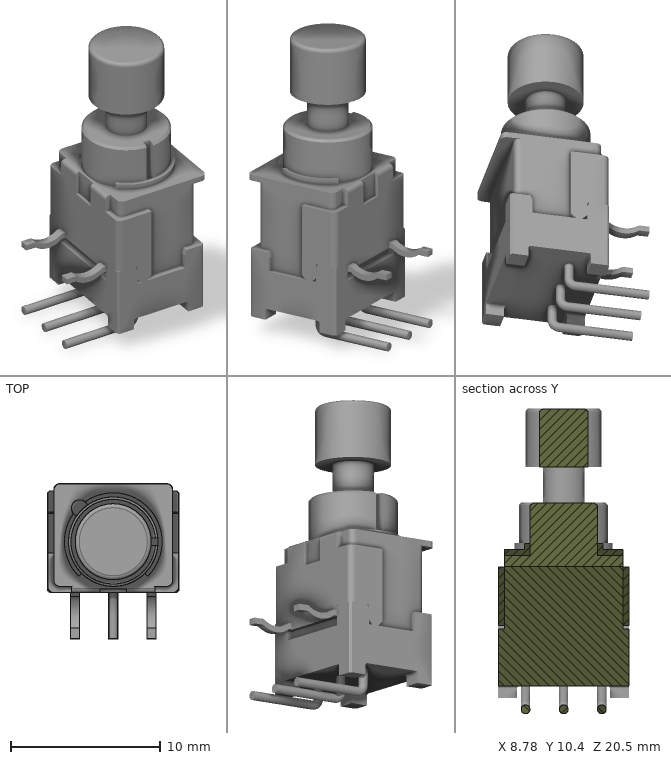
import cadquery as cq
import math

sheet = 0.4
overall_width = 8.78
block_width = overall_width - 2 * sheet
bushing_diameter = 6.0
block_depth = bushing_diameter
overall_depth = block_depth + 2 * sheet
front_y = -overall_depth / 2
block_front_y = -block_depth / 2
block_corner = 0.4

leg_bottom_z = 1.05
base_underside_z = 1.85
notch_floor_z = 4.55
shoulder_z = 5.92
block_top_z = 9.87
plate_top_z = 11.05
plate_bottom_z = plate_top_z - sheet
bushing_top_z = 14.15
cap_bottom_z = 16.52
cap_top_z = 20.47

stem_diameter = 2.78
cap_diameter = 5.1
cap_edge_radius = 0.27
bushing_chamfer = 0.16
keyway_width = 0.51
keyway_depth = 0.51

base_corner_chamfer = 0.15
side_notch_width = 3.77
bevel_width = 0.12
bevel_height = 0.37
side_slot_width = 4.3
front_slot_width = 6.22
slot_corner_radius = 0.15

plate_back_y = 3.89
neck_width = 5.57
bend_radius = 0.29
side_wall_back_y = -0.75
tip_chamfer = 0.35
recess_width = 1.8
recess_bottom_z = 9.35
recess_depth = 0.25
ring_diameter = 6.55
ring_top_z = 11.45
ring_end_angle = 45
peg_diameter = 1.1
peg_offset = 2.25

pin_diameter = 0.61
pin_pitch = 2.55
pin_y = -1.02
pin_bend_radius = 0.5
tip_y = -6.5
foot_width = 0.61
foot_bottom_z = 5.2
foot_sag = 0.37
foot_sag_start_y = -3.66
foot_sag_end_y = -5.77
tongue_width = 2 * pin_pitch + foot_width


def slab(width, y_min, y_max, z_min, z_max):
    """Box centred on X between the given Y and Z limits."""
    return cq.Workplane("XY").box(width, y_max - y_min, z_max - z_min, centered=False).translate(
        (-width / 2, y_min, z_min)
    )


def cylinder(diameter, z_min, z_max):
    return cq.Workplane("XY").workplane(offset=z_min).circle(diameter / 2).extrude(z_max - z_min)


def block(z_min, z_max):
    """Round-cornered block that the frame wraps around."""
    return slab(block_width, block_front_y, -block_front_y, z_min, z_max).edges("|Z").fillet(block_corner)


def peg(top_z):
    """Locating peg, or the room for it, through the frame plate."""
    return cylinder(peg_diameter, plate_bottom_z, top_z).translate((-peg_offset, peg_offset, 0))


def make_housing():
    """Flange block with the bushing, the stem and the button cap."""
    bushing = cylinder(bushing_diameter, plate_bottom_z, bushing_top_z)
    bushing = bushing.faces(">Z").edges().chamfer(bushing_chamfer)
    keyway = slab(keyway_depth, -keyway_width / 2, keyway_width / 2, plate_top_z, bushing_top_z)
    bushing = bushing.cut(keyway.translate((bushing_diameter / 2 - keyway_depth / 2, 0, 0)))
    stem = cylinder(stem_diameter, bushing_top_z, cap_bottom_z)
    cap = cylinder(cap_diameter, cap_bottom_z, cap_top_z).faces(">Z").edges().fillet(cap_edge_radius)
    return block(block_top_z, plate_bottom_z).union(bushing).union(peg(plate_top_z)).union(stem).union(cap)


def shoulder_notch(plane, width):
    """Cutter for a notch between two shoulders whose top inner edges are bevelled."""
    half = width / 2
    bevel_z = shoulder_z - bevel_height
    outline = [
        (-half, notch_floor_z),
        (half, notch_floor_z),
        (half, bevel_z),
        (half + bevel_width, shoulder_z),
        (-half - bevel_width, shoulder_z),
        (-half, bevel_z),
    ]
    return cq.Workplane(plane).polyline(outline).close().extrude(overall_width, both=True)


def foot_slot(plane, width):
    """Cutter for the gap between two legs, rounded along its upper corners."""
    height = base_underside_z - leg_bottom_z
    return (
        cq.Workplane(plane)
        .center(0, leg_bottom_z + height / 2)
        .rect(width, height)
        .extrude(overall_width, both=True)
        .faces(">Z")
        .edges("|X" if plane == "YZ" else "|Y")
        .fillet(slot_corner_radius)
    )


def make_base():
    """Four-legged base with the inner block standing out of it."""
    base = slab(overall_width, front_y, -front_y, leg_bottom_z, shoulder_z)
    base = base.edges("|Z").chamfer(base_corner_chamfer)
    base = base.cut(shoulder_notch("XZ", tongue_width)).cut(shoulder_notch("YZ", side_notch_width))
    base = base.cut(foot_slot("XZ", front_slot_width)).cut(foot_slot("YZ", side_slot_width))
    return base.union(block(base_underside_z, block_top_z))


def make_foot():
    """Solder foot with a dip, centred on X = 0."""
    top_z = foot_bottom_z + sheet
    sag_mid_y = (foot_sag_start_y + foot_sag_end_y) / 2
    return (
        cq.Workplane("YZ")
        .moveTo(block_front_y, foot_bottom_z)
        .lineTo(foot_sag_start_y, foot_bottom_z)
        .threePointArc((sag_mid_y, foot_bottom_z - foot_sag), (foot_sag_end_y, foot_bottom_z))
        .lineTo(tip_y, foot_bottom_z)
        .lineTo(tip_y, top_z)
        .lineTo(foot_sag_end_y, top_z)
        .threePointArc((sag_mid_y, top_z - foot_sag), (foot_sag_start_y, top_z))
        .lineTo(block_front_y, top_z)
        .close()
        .extrude(foot_width / 2, both=True)
    )


def make_ring():
    """Raised ring round the bushing, open towards -Y."""
    ring = cylinder(ring_diameter, plate_top_z, ring_top_z)
    reach = ring_diameter
    spread = reach * math.tan(math.radians(ring_end_angle))
    opening = (
        cq.Workplane("XY")
        .workplane(offset=plate_top_z)
        .polyline([(0, 0), (-spread, -reach), (spread, -reach)])
        .close()
        .extrude(ring_top_z - plate_top_z)
    )
    return ring.cut(opening)


def make_frame():
    """Sheet-metal frame: top plate, front wall, side walls with latching legs, ring and feet."""
    plate = slab(block_width, block_front_y, plate_back_y, plate_bottom_z, plate_top_z)
    plate = plate.edges("|Z").fillet(block_corner)

    wall = slab(neck_width, front_y, block_front_y + block_corner, block_top_z, plate_top_z)
    wall = wall.edges(">Z and <Y").fillet(bend_radius)

    wrap = slab(overall_width, front_y, side_wall_back_y, shoulder_z, block_top_z)
    wrap = wrap.edges("|Z and <Y").fillet(block_corner)
    tongue = slab(tongue_width, front_y, block_front_y, foot_bottom_z, shoulder_z)
    legs = slab(overall_width, -side_notch_width / 2, side_wall_back_y, notch_floor_z, shoulder_z)
    legs = legs.edges("<Z and |X").chamfer(tip_chamfer)

    frame = plate.union(wall).union(wrap).union(tongue).union(legs).union(make_ring())
    for side in (-1, 1):
        frame = frame.union(make_foot().translate((side * pin_pitch, 0, 0)))

    recess = slab(recess_width, front_y, front_y + recess_depth, recess_bottom_z, plate_top_z)
    bushing_hole = cylinder(bushing_diameter, plate_bottom_z, ring_top_z)
    block_space = block(notch_floor_z, plate_bottom_z)
    return frame.cut(recess).cut(bushing_hole).cut(peg(ring_top_z)).cut(block_space)


def make_pin(x):
    """Round terminal pin that drops from the base and bends forward."""
    axis_z = pin_diameter / 2
    bend_y = pin_y - pin_bend_radius
    bend_z = axis_z + pin_bend_radius
    corner = pin_bend_radius * math.sqrt(0.5)
    path = (
        cq.Workplane("YZ", origin=(x, 0, 0))
        .moveTo(pin_y, base_underside_z)
        .lineTo(pin_y, bend_z)
        .threePointArc((bend_y + corner, bend_z - corner), (bend_y, axis_z))
        .lineTo(tip_y, axis_z)
    )
    profile = cq.Workplane("XY", origin=(x, pin_y, base_underside_z)).circle(pin_diameter / 2)
    return profile.sweep(path)


housing = make_housing()
base = make_base()
frame = make_frame()
pins = [make_pin(column * pin_pitch) for column in (-1, 0, 1)]

result = cq.Compound.makeCompound(
    [housing.val(), base.val(), frame.val(), *[pin.val() for pin in pins]]
)